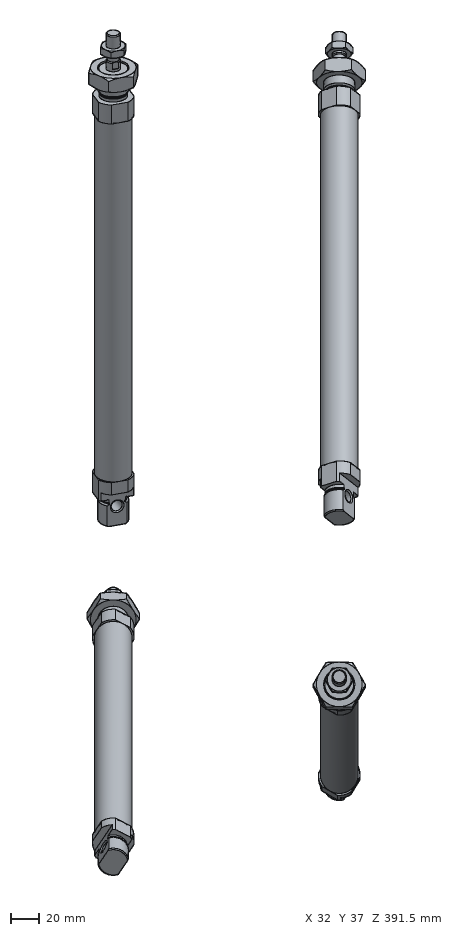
import cadquery as cq
import math

top_z = 391.5
cap_top_z = 341.5
front_cap_length = 15.3
rear_cap_top_z = 38.0
rear_cap_step_z = 28.0
plate_bottom_z = 21.5

tube_diameter = 26.5
cap_diameter = 29.5
cap_across_flats = tube_diameter

thread_diameter = 22.0
collar_diameter = 20.5
collar_length = 2.5
groove_diameter = 19.5
groove_floor_length = 0.8
thread_end_chamfer = 0.8
neck_length = 21.5

eye_thickness = 16.0
pivot_diameter = 8.2
pivot_chamfer_diameter = 10.0
pivot_z = 15.3

rod_diameter = 10.0
rod_groove_diameter = 8.5
rod_groove_top_z = 373.0
rod_groove_bottom_z = 370.5
rod_chamfer = (rod_diameter - rod_groove_diameter) / 2
rod_flat_width = 9.0
rod_flat_bottom_z = 365.0

mount_nut_across_flats = 32.0
mount_nut_thickness = 11.5
mount_nut_bottom_z = 352.5
rod_nut_across_flats = 17.0
rod_nut_thickness = 6.0
rod_nut_bottom_z = 375.5
nut_chamfer_angle = 30.0


def cylinder(diameter, bottom_z, top):
    return cq.Workplane("XY").workplane(offset=bottom_z).circle(diameter / 2).extrude(top - bottom_z)


def block(size_x, size_y, bottom_z, top):
    return cq.Workplane("XY").workplane(offset=bottom_z).rect(size_x, size_y).extrude(top - bottom_z)


def cap_blank(bottom_z, top):
    """Round cap with four wrench flats."""
    flats = block(cap_across_flats, cap_across_flats, bottom_z, top)
    return cylinder(cap_diameter, bottom_z, top).intersect(flats)


def threaded_spigot(length):
    """Spigot standing on Z = 0, with a relief groove of 45 degree sides between collar and thread."""
    collar_radius = collar_diameter / 2
    groove_radius = groove_diameter / 2
    thread_radius = thread_diameter / 2
    floor_start = collar_length + collar_radius - groove_radius
    floor_end = floor_start + groove_floor_length
    profile = [
        (0, 0),
        (collar_radius, 0),
        (collar_radius, collar_length),
        (groove_radius, floor_start),
        (groove_radius, floor_end),
        (thread_radius, floor_end + thread_radius - groove_radius),
        (thread_radius, length - thread_end_chamfer),
        (thread_radius - thread_end_chamfer, length),
        (0, length),
    ]
    return cq.Workplane("XZ").polyline(profile).close().revolve(360, (0, 0, 0), (0, 1, 0))


def mounting_neck():
    """Threaded neck that carries the mounting nut."""
    return threaded_spigot(neck_length).translate((0, 0, cap_top_z))


def clevis_eye():
    """Downward threaded spigot cut to a flat eye."""
    spigot = threaded_spigot(plate_bottom_z).rotate((0, 0, 0), (1, 0, 0), 180)
    slab = block(eye_thickness, thread_diameter, 0, plate_bottom_z)
    return spigot.translate((0, 0, plate_bottom_z)).intersect(slab)


def pivot_hole():
    """Through hole along X, flared at both faces of the eye."""
    half = eye_thickness / 2
    flare = (pivot_chamfer_diameter - pivot_diameter) / 2
    profile = [
        (-half, 0),
        (-half, pivot_chamfer_diameter / 2),
        (-half + flare, pivot_diameter / 2),
        (half - flare, pivot_diameter / 2),
        (half, pivot_chamfer_diameter / 2),
        (half, 0),
    ]
    cutter = cq.Workplane("XZ").polyline(profile).close().revolve(360, (0, 0, 0), (1, 0, 0))
    return cutter.translate((0, 0, pivot_z))


def make_housing():
    front_cap = cap_blank(cap_top_z - front_cap_length, cap_top_z)
    tube = cylinder(tube_diameter, rear_cap_top_z, cap_top_z - front_cap_length)
    rear_cap = cap_blank(rear_cap_step_z, rear_cap_top_z)
    plate = cap_blank(plate_bottom_z, rear_cap_step_z).intersect(
        block(eye_thickness, cap_across_flats, plate_bottom_z, rear_cap_step_z)
    )
    body = mounting_neck().union(front_cap).union(tube).union(rear_cap).union(plate).union(clevis_eye())
    rod_seat = cylinder(rod_diameter, cap_top_z, cap_top_z + neck_length)
    return body.cut(pivot_hole()).cut(rod_seat)


def make_piston_rod():
    """Rod with a threaded tip, a run-out groove and two wrench flats facing +X and -X."""
    shank = cylinder(rod_diameter, cap_top_z, rod_groove_bottom_z).faces(">Z").chamfer(rod_chamfer)
    groove = cylinder(rod_groove_diameter, rod_groove_bottom_z, rod_groove_top_z)
    tip = cylinder(rod_diameter, rod_groove_top_z, top_z).faces("<Z or >Z").chamfer(rod_chamfer)
    flat_zone = cylinder(rod_diameter, rod_flat_bottom_z, rod_groove_bottom_z)
    flat_core = block(rod_flat_width, rod_diameter, rod_flat_bottom_z, rod_groove_bottom_z)
    return shank.cut(flat_zone.cut(flat_core)).union(groove).union(tip)


def make_nut(across_flats, bore_diameter, thickness, bottom_z):
    """Hex nut with two flats facing +X and -X and its corners chamfered at both ends."""
    corner_radius = across_flats / math.sqrt(3)
    flat_radius = across_flats / 2
    bevel = (corner_radius - flat_radius) * math.tan(math.radians(nut_chamfer_angle))
    hexagon = (
        cq.Workplane("XY").polygon(6, 2 * corner_radius).extrude(thickness).rotate((0, 0, 0), (0, 0, 1), 30)
    )
    envelope = (
        cq.Workplane("XZ")
        .polyline(
            [
                (0, 0),
                (flat_radius, 0),
                (corner_radius, bevel),
                (corner_radius, thickness - bevel),
                (flat_radius, thickness),
                (0, thickness),
            ]
        )
        .close()
        .revolve(360, (0, 0, 0), (0, 1, 0))
    )
    bore = cylinder(bore_diameter, 0, thickness)
    return hexagon.intersect(envelope).cut(bore).translate((0, 0, bottom_z))


housing = make_housing()
piston_rod = make_piston_rod()
mounting_nut = make_nut(mount_nut_across_flats, thread_diameter, mount_nut_thickness, mount_nut_bottom_z)
rod_nut = make_nut(rod_nut_across_flats, rod_diameter, rod_nut_thickness, rod_nut_bottom_z)

result = cq.Compound.makeCompound(
    [housing.val(), piston_rod.val(), mounting_nut.val(), rod_nut.val()]
)